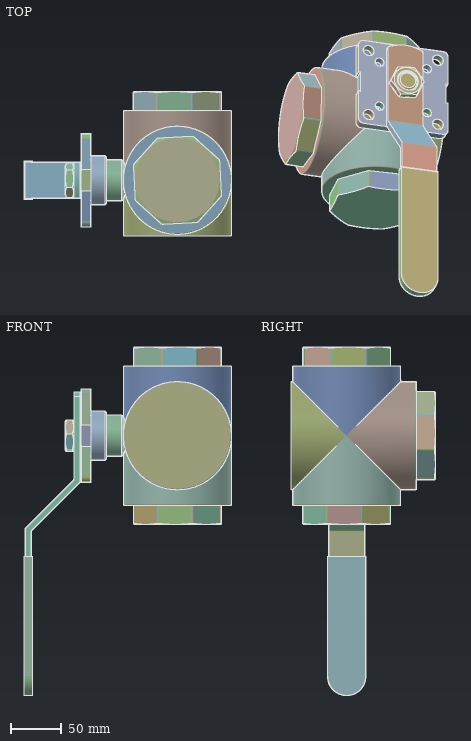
import cadquery as cq
import math

BODY_DIA = 108.0
RUN_HALF_LENGTH = 69.5
BRANCH_FRONT = 55.7
BODY_EDGE_FILLET = 1.0

PLUG_SIDES = 8
PLUG_END = 88.8
PLUG_CORNER_RADIUS = 46.5
PLUG_CORNER_FILLET = 2.8
PLUG_OVERLAP = 3.5
PLUG_FACE_RADIUS = 42.0
PLUG_CHAMFER_HEIGHT = 1.5
RUN_PLUG_TURN = 3.0
BRANCH_PLUG_TURN = -4.0

ROOT_DIA = 38.5
NECK_DIA = 41.5
NECK_START = 54.3
COLLAR_DIA = 49.5
COLLAR_START = 70.5
COLLAR_CHAMFER = 1.7
PLATE_BACK = 86.3
PLATE_FRONT = 96.0

PLATE_SIDE = 93.3
PLATE_CORNER_RADIUS = 5.5
NOTCH_WIDTH = 21.2
NOTCH_DEPTH = 2.0
OUTER_HOLE_DIA = 11.0
OUTER_HOLE_SPACING = 72.0
INNER_HOLE_DIA = 9.0
INNER_HOLE_SPACING = 49.5

STRAP_WIDTH = 36.2
STRAP_THICKNESS = 6.3
STRAP_GAP = 1.0
STRAP_FRONT = PLATE_FRONT + STRAP_GAP + STRAP_THICKNESS
STRAP_TOP = 44.0
STRAP_SHOULDER = 39.5
BEND_ANGLE = 45
UPPER_BEND = 44.0
LOWER_BEND = 92.5
BEND_FILLET = 1.7
GRIP_FRONT = 153.0
GRIP_THICKNESS = 8.7
GRIP_WIDTH = 38.3
GRIP_TOP = 120.5
GRIP_BOTTOM = 259.3

NUT_FRONT = 112.0
NUT_CORNER_DIA = 34.8
NUT_FACE_DIA = 28.5
NUT_CHAMFER_HEIGHT = 1.5
NUT_TURN = 36.0
NUT_BORE_DIA = 21.5
STEM_DIA = 19.5
STEM_CHAMFER = 1.7


def cylinder_toward_left(diameter, start, end):
    """Round bar on the X axis, between two distances measured toward -X."""
    return cq.Workplane("YZ", origin=(-end, 0, 0)).circle(diameter / 2).extrude(end - start)


def regular_prism(sides, corner_radius, first_corner, base, top):
    """Regular prism along Z with its first corner at the given angle in degrees."""
    angles = [math.radians(first_corner + 360 * i / sides) for i in range(sides)]
    corners = [(corner_radius * math.cos(a), corner_radius * math.sin(a)) for a in angles]
    return cq.Workplane("XY", origin=(0, 0, base)).polyline(corners).close().extrude(top - base)


def corner_envelope(corner_radius, face_radius, height, base, top):
    """Solid of revolution about Z that turns prism corners down to a circle at the top."""
    return (
        cq.Workplane("XZ")
        .moveTo(0, base)
        .lineTo(corner_radius, base)
        .lineTo(corner_radius, top - height)
        .lineTo(face_radius, top)
        .lineTo(0, top)
        .close()
        .revolve(360, (0, 0, 0), (0, 1, 0))
    )


def make_body():
    run = cq.Workplane("XY").circle(BODY_DIA / 2).extrude(RUN_HALF_LENGTH, both=True)
    branch = (
        cq.Workplane("XZ", origin=(0, -BRANCH_FRONT, 0))
        .circle(BODY_DIA / 2)
        .extrude(-(BRANCH_FRONT + RUN_HALF_LENGTH))
    )
    run = run.faces("<Z or >Z").edges().fillet(BODY_EDGE_FILLET)
    branch = branch.faces("<Y or >Y").edges().fillet(BODY_EDGE_FILLET)
    return run.union(branch)


def make_plug(turn):
    """Plug pointing up; a turn of zero leaves its flats square to X and Y."""
    base = RUN_HALF_LENGTH - PLUG_OVERLAP
    half_sector = 180 / PLUG_SIDES
    prism = regular_prism(PLUG_SIDES, PLUG_CORNER_RADIUS, half_sector + turn, base, PLUG_END)
    prism = prism.edges("|Z").fillet(PLUG_CORNER_FILLET)
    envelope = corner_envelope(
        PLUG_CORNER_RADIUS, PLUG_FACE_RADIUS, PLUG_CHAMFER_HEIGHT, base, PLUG_END
    )
    return prism.intersect(envelope)


def make_stem_housing():
    root = cylinder_toward_left(ROOT_DIA, 0, PLATE_BACK)
    neck = cylinder_toward_left(NECK_DIA, NECK_START, PLATE_BACK)
    neck = neck.faces(">X").edges().chamfer((NECK_DIA - ROOT_DIA) / 2)
    collar = cylinder_toward_left(COLLAR_DIA, COLLAR_START, PLATE_BACK)
    collar = collar.faces(">X").edges().chamfer(COLLAR_CHAMFER)
    return root.union(neck).union(collar)


def make_mounting_plate():
    thickness = PLATE_FRONT - PLATE_BACK
    sketch_plane = cq.Workplane("YZ", origin=(-PLATE_FRONT, 0, 0))
    plate = sketch_plane.rect(PLATE_SIDE, PLATE_SIDE).extrude(thickness)
    plate = plate.edges("|X").fillet(PLATE_CORNER_RADIUS)

    notch = sketch_plane.center(0, PLATE_SIDE / 2).rect(NOTCH_WIDTH, 2 * NOTCH_DEPTH)
    notch = notch.extrude(thickness)
    for angle in (0, 90, 180, 270):
        plate = plate.cut(notch.rotate((0, 0, 0), (1, 0, 0), angle))

    hole_patterns = (
        (OUTER_HOLE_DIA, OUTER_HOLE_SPACING),
        (INNER_HOLE_DIA, INNER_HOLE_SPACING),
    )
    for diameter, spacing in hole_patterns:
        holes = (
            sketch_plane.rect(spacing, spacing, forConstruction=True)
            .vertices()
            .circle(diameter / 2)
            .extrude(thickness)
        )
        plate = plate.cut(holes)
    return plate


def make_strap():
    bend_shift = STRAP_THICKNESS * math.tan(math.radians(BEND_ANGLE / 2))
    crank = (LOWER_BEND - UPPER_BEND) * math.tan(math.radians(BEND_ANGLE))
    lower_front = STRAP_FRONT + crank
    profile = [
        (-STRAP_FRONT, STRAP_TOP),
        (-STRAP_FRONT, -UPPER_BEND),
        (-lower_front, -LOWER_BEND),
        (-lower_front, -GRIP_TOP),
        (-lower_front + STRAP_THICKNESS, -GRIP_TOP),
        (-lower_front + STRAP_THICKNESS, -LOWER_BEND - bend_shift),
        (-STRAP_FRONT + STRAP_THICKNESS, -UPPER_BEND - bend_shift),
        (-STRAP_FRONT + STRAP_THICKNESS, STRAP_TOP),
    ]
    strap = cq.Workplane("XZ").polyline(profile).close().extrude(STRAP_WIDTH / 2, both=True)

    bend_zone = cq.selectors.BoxSelector(
        (-GRIP_FRONT, -STRAP_WIDTH, -(LOWER_BEND + STRAP_THICKNESS)), (0, STRAP_WIDTH, 0)
    )
    strap = strap.edges("|Y").edges(bend_zone).fillet(BEND_FILLET)

    outline = (
        cq.Workplane("YZ", origin=(-GRIP_FRONT, 0, 0))
        .moveTo(-STRAP_WIDTH / 2, -GRIP_TOP)
        .lineTo(-STRAP_WIDTH / 2, STRAP_SHOULDER)
        .threePointArc((0, STRAP_TOP), (STRAP_WIDTH / 2, STRAP_SHOULDER))
        .lineTo(STRAP_WIDTH / 2, -GRIP_TOP)
        .close()
        .extrude(GRIP_FRONT)
    )
    return strap.intersect(outline)


def make_grip():
    radius = GRIP_WIDTH / 2
    round_centre = -GRIP_BOTTOM + radius
    return (
        cq.Workplane("YZ", origin=(-GRIP_FRONT, 0, 0))
        .moveTo(-radius, -GRIP_TOP)
        .lineTo(radius, -GRIP_TOP)
        .lineTo(radius, round_centre)
        .threePointArc((0, -GRIP_BOTTOM), (-radius, round_centre))
        .close()
        .extrude(GRIP_THICKNESS)
    )


def make_nut():
    """Nut with both faces turned down at the corners, around a chamfered stem end."""
    height = NUT_FRONT - STRAP_FRONT
    corner_radius = NUT_CORNER_DIA / 2
    nut = regular_prism(6, corner_radius, NUT_TURN, 0, height)
    envelope = corner_envelope(corner_radius, NUT_FACE_DIA / 2, NUT_CHAMFER_HEIGHT, 0, height)
    nut = nut.intersect(envelope).intersect(envelope.mirror("XY", (0, 0, height / 2)))

    bore_floor = cq.Workplane("XY", origin=(0, 0, height - STEM_CHAMFER))
    nut = nut.cut(bore_floor.circle(NUT_BORE_DIA / 2).extrude(STEM_CHAMFER))

    return nut.rotate((0, 0, 0), (0, 1, 0), -90).translate((-STRAP_FRONT, 0, 0))


def make_stem():
    """Stem from the mounting plate through the strap, up to the front of the nut."""
    stem = cylinder_toward_left(STEM_DIA, PLATE_BACK, NUT_FRONT)
    return stem.faces("<X").edges().chamfer(STEM_CHAMFER)


top_plug = make_plug(RUN_PLUG_TURN)
bottom_plug = top_plug.rotate((0, 0, 0), (1, 0, 0), 180)
rear_plug = make_plug(BRANCH_PLUG_TURN).rotate((0, 0, 0), (1, 0, 0), -90)

result = (
    make_body()
    .union(top_plug)
    .union(bottom_plug)
    .union(rear_plug)
    .union(make_stem_housing())
    .union(make_mounting_plate())
    .union(make_strap())
    .union(make_grip())
    .union(make_nut())
    .union(make_stem())
)